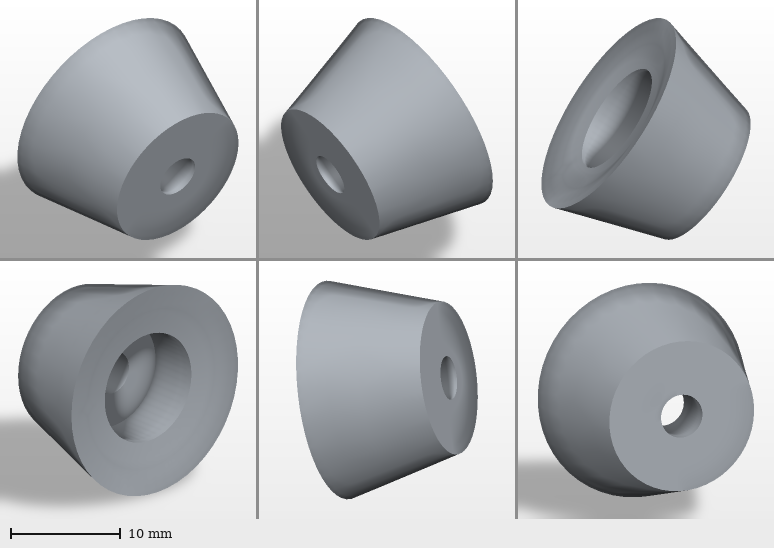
import math

import cadquery as cq

length = 10.92
large_radius = 20 / 2
small_radius = 14 / 2

dish_sphere_radius = 40.0

bore_radius = 10.4 / 2
through_radius = 4 / 2
floor_thickness = 5.0

rim_x = -length / 2
end_x = length / 2
floor_x = end_x - floor_thickness
dish_center_x = rim_x - math.sqrt(dish_sphere_radius**2 - large_radius**2)


def dish_point(radius):
    """Point on the dish sphere at a given distance from the axis."""
    return (dish_center_x + math.sqrt(dish_sphere_radius**2 - radius**2), radius)


half_section = (
    cq.Workplane("XY")
    .moveTo(end_x, through_radius)
    .lineTo(end_x, small_radius)
    .lineTo(rim_x, large_radius)
    .threePointArc(dish_point((large_radius + bore_radius) / 2), dish_point(bore_radius))
    .lineTo(floor_x, bore_radius)
    .lineTo(floor_x, through_radius)
    .close()
)

result = half_section.revolve(360, (0, 0, 0), (1, 0, 0))